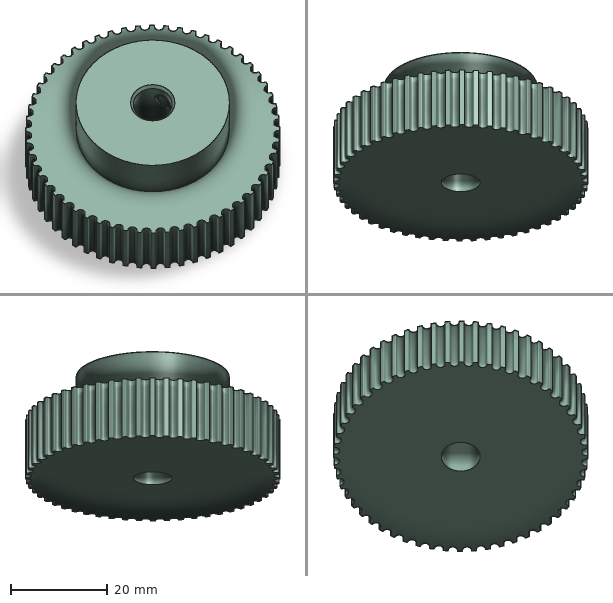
import cadquery as cq
import math

overall_diameter = 52.65
tooth_count = 56
wheel_height = 12.75

gap_width = 1.9
gap_depth = 1.15
corner_radius = 0.15

hub_diameter = 31.8
hub_height = 9.5

bore_diameter = 8.0
bore_chamfer = 0.6

screw_diameter = 4.0
screw_drop = 4.2
screw_bevel = 0.4
screw_angles = (0, 90)

total_height = wheel_height + hub_height
hub_radius = hub_diameter / 2
bore_radius = bore_diameter / 2

overall_radius = overall_diameter / 2
corner_centre_x = overall_radius - corner_radius
corner_centre_y = gap_width / 2 + corner_radius
tip_radius = corner_radius + math.hypot(corner_centre_x, corner_centre_y)
root_radius = overall_radius - gap_depth


def make_gap():
    """Cutter for the tooth gap on +X, its corners blending smoothly into the tip circle."""
    half_width = gap_width / 2
    tip_angle = math.atan2(corner_centre_y, corner_centre_x)
    middle_angle = (tip_angle - math.pi / 2) / 2
    corner_middle_x = corner_centre_x + corner_radius * math.cos(middle_angle)
    corner_middle_y = corner_centre_y + corner_radius * math.sin(middle_angle)
    tip_x = tip_radius * math.cos(tip_angle)
    tip_y = tip_radius * math.sin(tip_angle)
    outer_x = tip_x + gap_depth
    return (
        cq.Workplane("XY")
        .moveTo(outer_x, -tip_y)
        .lineTo(tip_x, -tip_y)
        .threePointArc((corner_middle_x, -corner_middle_y), (corner_centre_x, -half_width))
        .lineTo(root_radius + half_width, -half_width)
        .threePointArc((root_radius, 0), (root_radius + half_width, half_width))
        .lineTo(corner_centre_x, half_width)
        .threePointArc((corner_middle_x, corner_middle_y), (tip_x, tip_y))
        .lineTo(outer_x, tip_y)
        .close()
        .extrude(wheel_height)
    )


def make_wheel():
    """Toothed disc with evenly spaced gaps."""
    gap = make_gap().val()
    gaps = [gap.rotate((0, 0, 0), (0, 0, 1), 360 * i / tooth_count) for i in range(tooth_count)]
    disc = cq.Workplane("XY").circle(tip_radius).extrude(wheel_height)
    return disc.cut(cq.Workplane(cq.Compound.makeCompound(gaps)))


def make_hub():
    """Plain round hub standing on top of the wheel."""
    return cq.Workplane("XY", origin=(0, 0, wheel_height)).circle(hub_radius).extrude(hub_height)


def make_bore():
    """Through bore with a 45 degree chamfer at the hub end."""
    mouth_radius = bore_radius + bore_chamfer
    return (
        cq.Workplane("XZ")
        .polyline([
            (0, 0),
            (bore_radius, 0),
            (bore_radius, total_height - bore_chamfer),
            (mouth_radius, total_height),
            (0, total_height),
        ])
        .close()
        .revolve(360, (0, 0, 0), (0, 1, 0))
    )


def make_screw_rod(start, end):
    """Round rod along +X at screw height, between two distances from the bore axis."""
    return (
        cq.Workplane("YZ", origin=(start, 0, total_height - screw_drop))
        .circle(screw_diameter / 2)
        .extrude(end - start)
    )


def make_screw_clearance():
    """Space left around a bevelled screw tip that is flush with the bore wall."""
    hole = make_screw_rod(0, hub_radius)
    screw = make_screw_rod(bore_radius, hub_radius).faces("<X").chamfer(screw_bevel)
    return hole.cut(screw)


result = make_wheel().union(make_hub()).cut(make_bore())
screw_clearance = make_screw_clearance()
for angle in screw_angles:
    result = result.cut(screw_clearance.rotate((0, 0, 0), (0, 0, 1), angle))